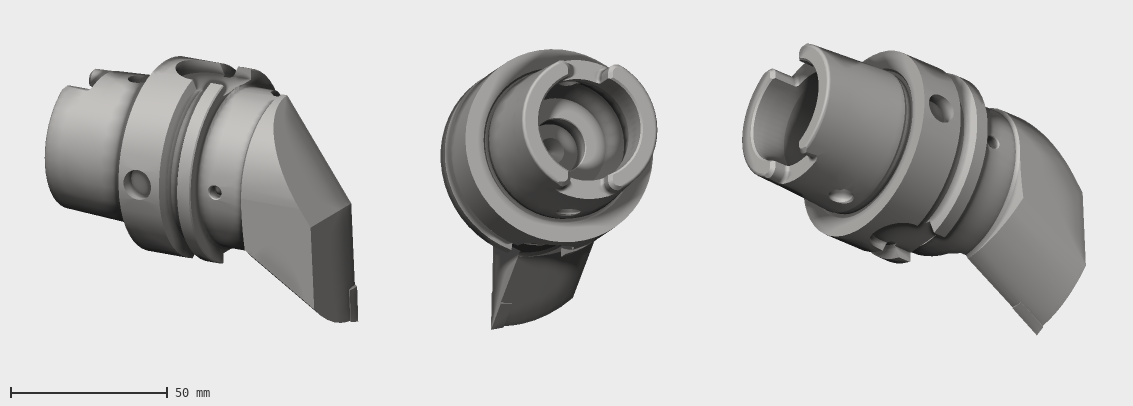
import cadquery as cq
import math


SHANK_LENGTH = 32.0
SHANK_TIP_RADIUS = 22.7
TAPER_END_X = -2.2
TAPER_END_RADIUS = 24.3
SHANK_EDGE_ROUND = 1.0
RELIEF_RADIUS = 23.9
RELIEF_START_X = -1.4
RELIEF_END_X = -0.5
FACE_GROOVE_INNER_RADIUS = 23.7
FACE_GROOVE_RADIUS = 24.8
FACE_GROOVE_MOUTH_RADIUS = 25.4
FACE_GROOVE_DEPTH = 0.6

BORE_MOUTH_RADIUS = 17.6
BORE_RADIUS = 17.0
BORE_CYLINDER_END_X = -19.1
UNDERCUT_RADIUS = 19.4
UNDERCUT_END_X = -7.3
BORE_FLOOR_RADIUS = 15.5
BORE_FLOOR_X = 0.0
CENTRE_HOLE_RADIUS = 8.8
CENTRE_HOLE_DEPTH = 8.2
CENTRE_HOLE_CHAMFER = 0.3
DRILL_POINT_RADIUS = 4.3
DRILL_POINT_HALF_ANGLE = 59.0

SLOT_HALF_WIDTH = 6.3
UPPER_SLOT_DEPTH = 10.1
LOWER_SLOT_DEPTH = 6.1
SLOT_FLARE_RADIUS = 3.0
SLOT_FLARE_START_Z = 17.6
SLOT_SHELF_HALF_WIDTH = 14.3
SLOT_EDGE_SIZE = 1.2
SLOT_TOP_Z = SHANK_TIP_RADIUS + 5.1

ACCESS_HOLE_X = -9.4
ACCESS_HOLE_RADIUS = 3.9
ACCESS_HOLE_CHAMFER = 0.3

FLANGE_RADIUS = 31.5
FLANGE_END_X = 26.0
FLANGE_CHAMFER = 0.4
GROOVE_RADIUS = 27.5
GROOVE_SHOULDER_RADIUS = 28.5
GROOVE_MOUTH_X = (14.7, 21.3)
GROOVE_SHOULDER_X = (16.1, 19.9)
GROOVE_FLOOR_X = (16.8, 19.2)
KEYWAY_HALF_WIDTH = 9.1
KEYWAY_START_X = 4.8
KEYWAY_FLOOR_Z = 26.5
CHIP_HOLE_X = 6.8
CHIP_HOLE_RADIUS = 5.0
CHIP_HOLE_DEPTH = 5.1

NECK_RADIUS = 26.0
NECK_FILLET = 0.9
COLLAR_RADIUS = 27.0
COLLAR_X = 42.1
COLLAR_CHAMFER_LENGTH = 0.9

HEAD_TOP_X = 44.1
HEAD_CORNER = (67.4, -5.6)
HEAD_END = (69.3, -45.9)
HEAD_BACK_ANGLE = 15.0
ARM_SLOPE = 32.0
ARM_ROUND_RADIUS = 44.8
ARM_CYLINDER_LENGTH = 91.7
RELIEF_WALL = [(30.0, 26.5), (36.4, 3.0), (39.2, 0.0)]

INSERT_TIP = (69.9, -45.0)
INSERT_EDGE = 11.8
INSERT_ANGLE = 55.0
INSERT_LEAN = 92.0
INSERT_THICKNESS = 4.0
INSERT_CLEARANCE = 7.0

NOZZLE_X = 32.0
NOZZLE_HOLE_RADIUS = 2.1
NOZZLE_HOLE_CHAMFER = 0.4
NOZZLE_BALL_RECESS = 2.5
NOZZLE_BALL_RADIUS = NOZZLE_HOLE_RADIUS

SPAN = 81.5
OVERCUT = 1.0


def revolved(profile):
    """Solid of revolution about X from (x, radius) points."""
    return cq.Workplane("XY").polyline(profile).close().revolve(360, (0, 0, 0), (1, 0, 0))


def make_turned_body():
    fillet_mid = NECK_FILLET * (1 - math.sqrt(0.5))
    profile = (
        cq.Workplane("XY")
        .moveTo(-SHANK_LENGTH, 0)
        .lineTo(-SHANK_LENGTH, SHANK_TIP_RADIUS - SHANK_EDGE_ROUND)
        .radiusArc((-SHANK_LENGTH + SHANK_EDGE_ROUND, SHANK_TIP_RADIUS), SHANK_EDGE_ROUND)
        .lineTo(TAPER_END_X, TAPER_END_RADIUS)
        .lineTo(RELIEF_START_X, RELIEF_RADIUS)
        .lineTo(RELIEF_END_X, RELIEF_RADIUS)
        .lineTo(FACE_GROOVE_DEPTH, FACE_GROOVE_INNER_RADIUS)
        .lineTo(FACE_GROOVE_DEPTH, FACE_GROOVE_RADIUS)
        .lineTo(0, FACE_GROOVE_MOUTH_RADIUS)
        .lineTo(0, FLANGE_RADIUS)
        .lineTo(GROOVE_MOUTH_X[0], FLANGE_RADIUS)
        .lineTo(GROOVE_SHOULDER_X[0], GROOVE_SHOULDER_RADIUS)
        .lineTo(GROOVE_FLOOR_X[0], GROOVE_RADIUS)
        .lineTo(GROOVE_FLOOR_X[1], GROOVE_RADIUS)
        .lineTo(GROOVE_SHOULDER_X[1], GROOVE_SHOULDER_RADIUS)
        .lineTo(GROOVE_MOUTH_X[1], FLANGE_RADIUS)
        .lineTo(FLANGE_END_X - FLANGE_CHAMFER, FLANGE_RADIUS)
        .lineTo(FLANGE_END_X, FLANGE_RADIUS - FLANGE_CHAMFER)
        .lineTo(FLANGE_END_X, NECK_RADIUS + NECK_FILLET)
        .threePointArc(
            (FLANGE_END_X + fillet_mid, NECK_RADIUS + fillet_mid),
            (FLANGE_END_X + NECK_FILLET, NECK_RADIUS),
        )
        .lineTo(COLLAR_X - COLLAR_CHAMFER_LENGTH, NECK_RADIUS)
        .lineTo(COLLAR_X, COLLAR_RADIUS)
        .lineTo(HEAD_CORNER[0], COLLAR_RADIUS)
        .lineTo(HEAD_CORNER[0], 0)
        .close()
    )
    return profile.revolve(360, (0, 0, 0), (1, 0, 0))


def make_head_side():
    """Side outline of the head, wide enough to trim both the collar cylinder and the arm."""
    outline = [
        (-SHANK_LENGTH, FLANGE_RADIUS),
        (FLANGE_END_X, FLANGE_RADIUS),
        (FLANGE_END_X, COLLAR_RADIUS),
        (HEAD_TOP_X, COLLAR_RADIUS),
        HEAD_CORNER,
        HEAD_END,
        (-SHANK_LENGTH, HEAD_END[1]),
    ]
    return cq.Workplane("XZ").polyline(outline).close().extrude(SPAN / 2, both=True)


def make_arm():
    """Block below the axis with a flat side, a round sloping underside and a conical back."""
    length = HEAD_END[0] - COLLAR_X
    block = (
        cq.Workplane("XY")
        .box(length, COLLAR_RADIUS, -HEAD_END[1], centered=False)
        .translate((COLLAR_X, -COLLAR_RADIUS, HEAD_END[1]))
    )
    slope = math.radians(ARM_SLOPE)
    axis_start = cq.Vector(
        COLLAR_X + ARM_ROUND_RADIUS * math.sin(slope),
        0,
        -COLLAR_RADIUS + ARM_ROUND_RADIUS * math.cos(slope),
    )
    fall = cq.Vector(math.cos(slope), 0, -math.sin(slope))
    underside = cq.Solid.makeCylinder(
        ARM_ROUND_RADIUS,
        2 * ARM_CYLINDER_LENGTH,
        axis_start - fall * ARM_CYLINDER_LENGTH,
        fall,
    )
    cone_rise = SPAN - COLLAR_RADIUS
    back = revolved(
        [
            (COLLAR_X, 0),
            (COLLAR_X, COLLAR_RADIUS),
            (COLLAR_X + cone_rise * math.tan(math.radians(HEAD_BACK_ANGLE)), SPAN),
            (SPAN, SPAN),
            (SPAN, 0),
        ]
    )
    return block.intersect(cq.Workplane(underside)).intersect(back)


def cut_head_flat(body):
    """Remove the +Y half of the head down to the flat through the axis."""
    outline = RELIEF_WALL + [(SPAN, 0), (SPAN, SPAN), (RELIEF_WALL[0][0], SPAN)]
    cutter = cq.Workplane("XY").polyline(outline).close().extrude(SPAN, both=True)
    return body.cut(cutter)


def cut_bore(body):
    mouth_chamfer = BORE_MOUTH_RADIUS - BORE_RADIUS
    bore = revolved(
        [
            (-SHANK_LENGTH, 0),
            (-SHANK_LENGTH, BORE_MOUTH_RADIUS),
            (-SHANK_LENGTH + mouth_chamfer, BORE_RADIUS),
            (BORE_CYLINDER_END_X, BORE_RADIUS),
            (UNDERCUT_END_X, UNDERCUT_RADIUS),
            (BORE_FLOOR_X, BORE_FLOOR_RADIUS),
            (BORE_FLOOR_X, 0),
        ]
    )
    hole_end = BORE_FLOOR_X + CENTRE_HOLE_DEPTH
    point_depth = DRILL_POINT_RADIUS / math.tan(math.radians(DRILL_POINT_HALF_ANGLE))
    centre_hole = revolved(
        [
            (BORE_FLOOR_X, 0),
            (BORE_FLOOR_X, CENTRE_HOLE_RADIUS + CENTRE_HOLE_CHAMFER),
            (BORE_FLOOR_X + CENTRE_HOLE_CHAMFER, CENTRE_HOLE_RADIUS),
            (hole_end, CENTRE_HOLE_RADIUS),
            (hole_end, DRILL_POINT_RADIUS),
            (hole_end + point_depth, 0),
        ]
    )
    return body.cut(bore).cut(centre_hole)


def slot_outline():
    """Drive slot section in Y and Z, flared outwards where it meets the taper surface."""
    flare_y = SLOT_HALF_WIDTH + SLOT_FLARE_RADIUS
    flare_z = SLOT_FLARE_START_Z + SLOT_FLARE_RADIUS
    return (
        cq.Workplane("YZ", origin=(-SHANK_LENGTH, 0, 0))
        .moveTo(-SLOT_HALF_WIDTH, 0)
        .lineTo(SLOT_HALF_WIDTH, 0)
        .lineTo(SLOT_HALF_WIDTH, SLOT_FLARE_START_Z)
        .radiusArc((flare_y, flare_z), SLOT_FLARE_RADIUS)
        .lineTo(SLOT_SHELF_HALF_WIDTH, flare_z)
        .lineTo(SLOT_SHELF_HALF_WIDTH, SLOT_TOP_Z)
        .lineTo(-SLOT_SHELF_HALF_WIDTH, SLOT_TOP_Z)
        .lineTo(-SLOT_SHELF_HALF_WIDTH, flare_z)
        .lineTo(-flare_y, flare_z)
        .radiusArc((-SLOT_HALF_WIDTH, SLOT_FLARE_START_Z), SLOT_FLARE_RADIUS)
        .close()
    )


def make_slot_cutter(depth):
    slot = slot_outline().extrude(depth).faces(">X").edges().fillet(SLOT_EDGE_SIZE)
    mouth = slot_outline().offset2D(SLOT_EDGE_SIZE).extrude(SLOT_EDGE_SIZE, taper=45)
    return slot.union(mouth)


def cut_drive_slots(body):
    lower_slot = make_slot_cutter(LOWER_SLOT_DEPTH).rotate((0, 0, 0), (1, 0, 0), 180)
    return body.cut(make_slot_cutter(UPPER_SLOT_DEPTH)).cut(lower_slot)


def make_radial_cutter(x, direction, hole_radius, chamfer, surface_radius, floor_radius):
    """Radial hole with a chamfered mouth; the floor radius is its inner end."""
    hole = cq.Solid.makeCylinder(
        hole_radius,
        surface_radius + OVERCUT - floor_radius,
        cq.Vector(x, 0, 0) + direction * floor_radius,
        direction,
    )
    mouth = cq.Solid.makeCone(
        hole_radius,
        hole_radius + 2 * chamfer,
        2 * chamfer,
        cq.Vector(x, 0, 0) + direction * (surface_radius - chamfer),
        direction,
    )
    return cq.Workplane(hole).union(cq.Workplane(mouth))


def cut_access_holes(body):
    taper_slope = (TAPER_END_RADIUS - SHANK_TIP_RADIUS) / (SHANK_LENGTH + TAPER_END_X)
    surface = SHANK_TIP_RADIUS + taper_slope * (SHANK_LENGTH + ACCESS_HOLE_X)
    for side in (1, -1):
        body = body.cut(
            make_radial_cutter(
                ACCESS_HOLE_X,
                cq.Vector(0, 0, side),
                ACCESS_HOLE_RADIUS,
                ACCESS_HOLE_CHAMFER,
                surface,
                0,
            )
        )
    return body


def cut_keyways(body):
    """Round-ended keyways across the flange rim, above and below."""
    length = FLANGE_END_X - KEYWAY_START_X - KEYWAY_HALF_WIDTH
    centre_x = KEYWAY_START_X + KEYWAY_HALF_WIDTH
    height = FLANGE_RADIUS - KEYWAY_FLOOR_Z + OVERCUT
    round_end = cq.Workplane("XY", origin=(centre_x, 0, KEYWAY_FLOOR_Z))
    round_end = round_end.circle(KEYWAY_HALF_WIDTH).extrude(height)
    keyway = (
        cq.Workplane("XY", origin=(centre_x + length / 2, 0, KEYWAY_FLOOR_Z))
        .rect(length, 2 * KEYWAY_HALF_WIDTH)
        .extrude(height)
        .union(round_end)
    )
    return body.cut(keyway).cut(keyway.mirror("XY"))


def cut_chip_hole(body):
    hole = cq.Solid.makeCylinder(
        CHIP_HOLE_RADIUS,
        CHIP_HOLE_DEPTH + OVERCUT,
        cq.Vector(CHIP_HOLE_X, -FLANGE_RADIUS + CHIP_HOLE_DEPTH, 0),
        cq.Vector(0, -1, 0),
    )
    return body.cut(cq.Workplane(hole))


def make_nozzle_ball():
    centre_y = -NECK_RADIUS + NOZZLE_BALL_RECESS + NOZZLE_BALL_RADIUS
    return cq.Workplane("XY").sphere(NOZZLE_BALL_RADIUS).translate((NOZZLE_X, centre_y, 0))


def cut_nozzle_hole(body):
    """Blind hole in the neck, ending in a round seat that fits the nozzle ball."""
    hole = make_radial_cutter(
        NOZZLE_X,
        cq.Vector(0, -1, 0),
        NOZZLE_HOLE_RADIUS,
        NOZZLE_HOLE_CHAMFER,
        NECK_RADIUS,
        NECK_RADIUS - NOZZLE_BALL_RECESS - NOZZLE_BALL_RADIUS,
    )
    return body.cut(hole).cut(make_nozzle_ball())


def make_insert():
    def corner(start, angle):
        direction = math.radians(angle)
        return (
            start[0] + INSERT_EDGE * math.cos(direction),
            start[1] + INSERT_EDGE * math.sin(direction),
        )

    end_corner = corner(INSERT_TIP, INSERT_LEAN)
    rear_corner = corner(INSERT_TIP, INSERT_LEAN + INSERT_ANGLE)
    far_corner = corner(end_corner, INSERT_LEAN + INSERT_ANGLE)
    return (
        cq.Workplane("XZ")
        .polyline([INSERT_TIP, end_corner, far_corner, rear_corner])
        .close()
        .extrude(INSERT_THICKNESS, taper=INSERT_CLEARANCE)
    )


def make_holder(insert):
    holder = make_turned_body().union(make_arm()).intersect(make_head_side())
    holder = cut_head_flat(holder)
    holder = cut_bore(holder)
    holder = cut_drive_slots(holder)
    holder = cut_access_holes(holder)
    holder = cut_keyways(holder)
    holder = cut_chip_hole(holder)
    holder = cut_nozzle_hole(holder)
    return holder.cut(insert)


insert = make_insert()
nozzle_ball = make_nozzle_ball()
holder = make_holder(insert)

result = cq.Compound.makeCompound([holder.val(), insert.val(), nozzle_ball.val()])